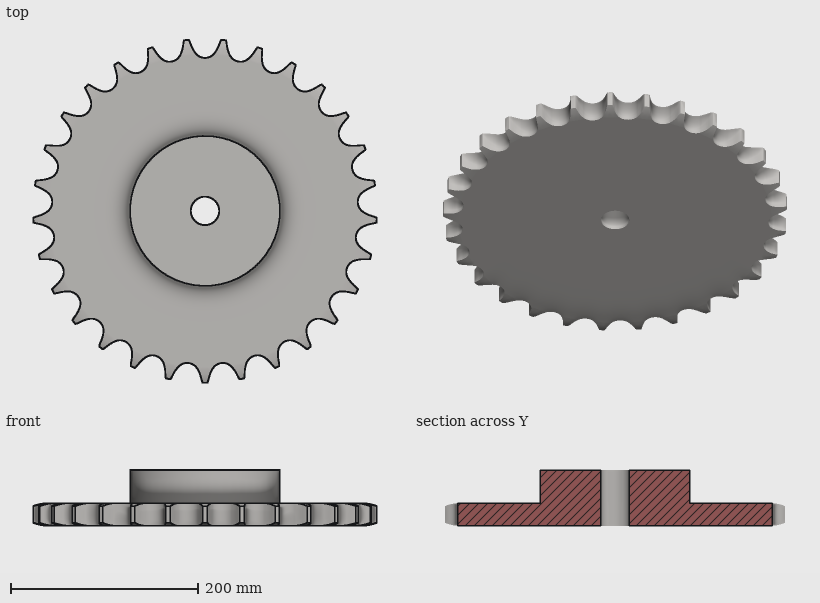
import cadquery as cq
import math

OVERALL_LENGTH = 367.0
TOTAL_HEIGHT = 60.0
DISC_THICKNESS = 24.2
HUB_DIAMETER = 160.0
BORE_DIAMETER = 30.0

TOOTH_COUNT = 29
TOOTH_TIP_WIDTH = 5.0
PITCH_RADIUS = 176.0
ROLLER_DIAMETER = 25.5
TOOTH_ANGLE = 2 * math.pi / TOOTH_COUNT

TIP_HALF_ANGLE = math.asin(TOOTH_TIP_WIDTH / OVERALL_LENGTH)
TIP_RADIUS = OVERALL_LENGTH / 2 / math.cos(TOOTH_ANGLE / 4 - TIP_HALF_ANGLE)

SEAT_RATIO = 0.502
WORKING_RATIO = 1.304
WORKING_CENTRE_RATIO = 0.8
TOPPING_CENTRE_RATIO = 1.4
SEAT_HALF_ANGLE = math.radians(55 - 60 / TOOTH_COUNT)
WORKING_ANGLE = math.radians(18 - 56 / TOOTH_COUNT)
TOPPING_ANGLE = math.radians(17 - 64 / TOOTH_COUNT)

SEAT_RADIUS = SEAT_RATIO * ROLLER_DIAMETER
WORKING_RADIUS = WORKING_RATIO * ROLLER_DIAMETER
WORKING_CENTRE_OFFSET = WORKING_CENTRE_RATIO * ROLLER_DIAMETER
TOPPING_CENTRE_OFFSET = TOPPING_CENTRE_RATIO * ROLLER_DIAMETER
STRAIGHT_LENGTH = (
    TOPPING_CENTRE_OFFSET * math.sin(TOPPING_ANGLE)
    - WORKING_CENTRE_OFFSET * math.sin(WORKING_ANGLE)
)
TOPPING_RADIUS = (
    WORKING_CENTRE_OFFSET * math.cos(WORKING_ANGLE)
    + TOPPING_CENTRE_OFFSET * math.cos(TOPPING_ANGLE)
    - WORKING_RADIUS
)

RELIEF_START_RADIUS = 167.0
RELIEF_ARC_RADIUS = 44.8

CUTTER_CLEARANCE = 3.5
GAP_REACH = TIP_RADIUS + CUTTER_CLEARANCE


def relief_drop(radius):
    """Depth of the rounded tooth side below the disc face at a given radius."""
    run = radius - RELIEF_START_RADIUS
    return RELIEF_ARC_RADIUS - math.sqrt(RELIEF_ARC_RADIUS**2 - run**2)


def rounded_disc():
    """Revolve the toothless disc, with both faces curving inward towards the rim."""
    mid_radius = (RELIEF_START_RADIUS + TIP_RADIUS) / 2
    mid_drop = relief_drop(mid_radius)
    rim_drop = relief_drop(TIP_RADIUS)
    return (
        cq.Workplane("XZ")
        .lineTo(RELIEF_START_RADIUS, 0)
        .threePointArc((mid_radius, mid_drop), (TIP_RADIUS, rim_drop))
        .lineTo(TIP_RADIUS, DISC_THICKNESS - rim_drop)
        .threePointArc((mid_radius, DISC_THICKNESS - mid_drop), (RELIEF_START_RADIUS, DISC_THICKNESS))
        .lineTo(0, DISC_THICKNESS)
        .close()
        .revolve(360, (0, 0), (0, 1))
    )


def offset(point, distance, angle):
    """Move a point by a distance, at an angle measured from -Y towards +X."""
    return (point[0] + distance * math.sin(angle), point[1] - distance * math.cos(angle))


def half_gap():
    """Cutter for the +X half of a tooth gap centred on the +Y axis."""
    seat_centre = (0, PITCH_RADIUS)
    root = offset(seat_centre, SEAT_RADIUS, 0)
    seat_mid = offset(seat_centre, SEAT_RADIUS, SEAT_HALF_ANGLE / 2)
    seat_end = offset(seat_centre, SEAT_RADIUS, SEAT_HALF_ANGLE)

    flank_angle = SEAT_HALF_ANGLE + WORKING_ANGLE
    working_centre = offset(seat_end, -WORKING_RADIUS, SEAT_HALF_ANGLE)
    working_mid = offset(working_centre, WORKING_RADIUS, SEAT_HALF_ANGLE + WORKING_ANGLE / 2)
    working_end = offset(working_centre, WORKING_RADIUS, flank_angle)

    straight_end = offset(working_end, STRAIGHT_LENGTH, flank_angle + math.pi / 2)
    topping_centre = offset(straight_end, TOPPING_RADIUS, flank_angle)

    def topping_point(y):
        reach = math.sqrt(TOPPING_RADIUS**2 - (y - topping_centre[1]) ** 2)
        return (topping_centre[0] - reach, y)

    return (
        cq.Workplane("XY")
        .moveTo(*root)
        .threePointArc(seat_mid, seat_end)
        .threePointArc(working_mid, working_end)
        .lineTo(*straight_end)
        .threePointArc(topping_point((straight_end[1] + GAP_REACH) / 2), topping_point(GAP_REACH))
        .lineTo(0, GAP_REACH)
        .close()
        .extrude(DISC_THICKNESS)
    )


result = rounded_disc()
right_half = half_gap()
left_half = right_half.mirror("YZ")
for index in range(TOOTH_COUNT):
    turn = math.degrees(index * TOOTH_ANGLE)
    for half in (right_half, left_half):
        result = result.cut(half.rotate((0, 0, 0), (0, 0, 1), turn))

hub = cq.Workplane("XY").circle(HUB_DIAMETER / 2).extrude(TOTAL_HEIGHT)
bore = cq.Workplane("XY").circle(BORE_DIAMETER / 2).extrude(TOTAL_HEIGHT)
result = result.union(hub).cut(bore)